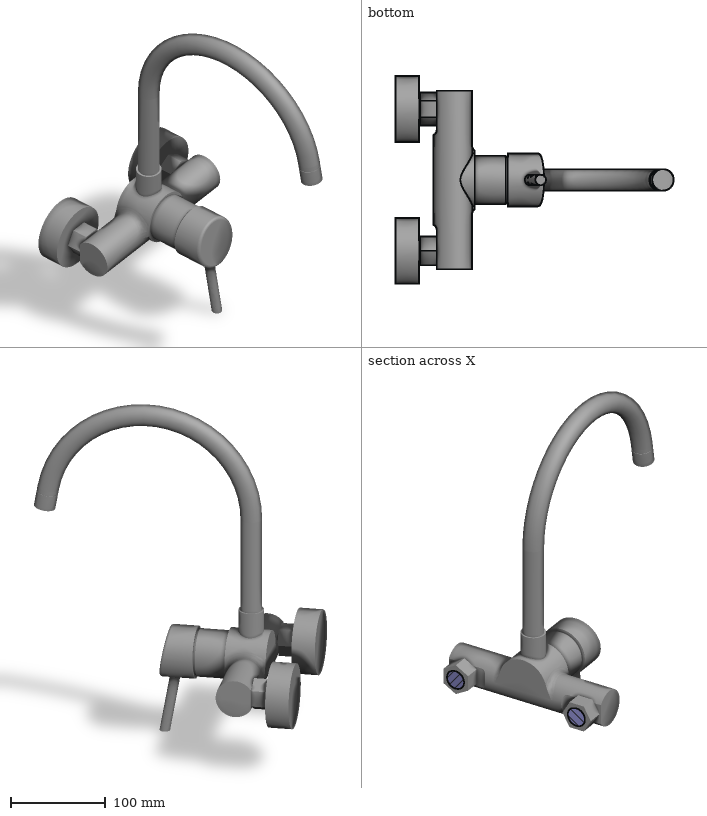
import cadquery as cq
import math


TUBE_DIAMETER = 41.0
TUBE_LENGTH = 189.0
SEAT_X = -17.0
SEAT_INNER_Y = 53.0
SEAT_CORNER_RADIUS = 6.3

VALVE_AXIS_Z = 10.5
BARREL_RADIUS = 29.3
BARREL_BACK_X = -20.7
BARREL_FRONT_X = 23.5
BARREL_BACK_BOTTOM_Z = 2.0
BARREL_BLEND_RADIUS = 7.5
SLEEVE_RADIUS = 25.75
SLEEVE_END_X = 56.0
NECK_RADIUS = 24.5

COLLAR_DIAMETER = 27.0
COLLAR_BOTTOM_Z = 33.5
COLLAR_TOP_Z = 64.0

SPOUT_DIAMETER = 23.0
BEND_RADIUS = 110.0
BEND_START_Z = 167.8
TILT = 10.0
OUTLET_LENGTH = 22.5
GROOVE_START = 4.5
GROOVE_WIDTH = 1.0
GROOVE_DEPTH = 0.55

HANDLE_RADIUS = 28.0
HANDLE_BACK_X = 58.0
HANDLE_FACE_X = 92.2
HANDLE_EDGE_RADIUS = 3.0
LEVER_DIAMETER = 11.0
LEVER_END_X = 93.0
LEVER_END_Z = -81.0

UNION_SPACING = 150.0
FLANGE_DIAMETER = 70.0
FLANGE_BACK_X = -60.7
FLANGE_THICKNESS = 25.2
UNION_NECK_DIAMETER = 22.0
UNION_NECK_LENGTH = 1.0
NUT_ACROSS_CORNERS = 35.2


def disc_along_x(radius, start_x, end_x, y=0, z=0):
    """Round bar along X between two X positions."""
    return cq.Workplane("YZ", origin=(start_x, y, z)).circle(radius).extrude(end_x - start_x)


def make_tube():
    return cq.Workplane("XZ").circle(TUBE_DIAMETER / 2).extrude(TUBE_LENGTH / 2, both=True)


def make_blended_barrel():
    """Upper part of the barrel, blended into the tube on both sides."""
    overhang = BARREL_RADIUS + TUBE_DIAMETER / 2
    arch = disc_along_x(BARREL_RADIUS, -overhang, overhang, z=VALVE_AXIS_Z)
    straight_walls = cq.Workplane("XY", origin=(0, 0, VALVE_AXIS_Z)).rect(
        2 * overhang, 2 * BARREL_RADIUS
    ).extrude(-2 * overhang)
    blended = make_tube().union(arch.union(straight_walls))
    tube_radius = TUBE_DIAMETER / 2
    junctions = cq.selectors.BoxSelector(
        (-tube_radius, -overhang, -tube_radius), (tube_radius, overhang, tube_radius)
    )
    blended = blended.edges(junctions).fillet(BARREL_BLEND_RADIUS)
    trim = cq.Workplane("XY", origin=(BARREL_BACK_X, 0, BARREL_BACK_BOTTOM_Z)).box(
        BARREL_FRONT_X - BARREL_BACK_X, TUBE_LENGTH, 2 * BARREL_RADIUS + TUBE_DIAMETER,
        centered=(False, True, False),
    )
    return blended.intersect(trim)


def seat_cut(side):
    """Flat for a union nut, open at the tube end (side is +1 or -1 along Y)."""
    outer_x = -TUBE_DIAMETER
    end_y = TUBE_LENGTH
    corner_y = SEAT_INNER_Y - SEAT_CORNER_RADIUS
    diagonal = SEAT_CORNER_RADIUS * math.sqrt(0.5)
    arc_x = SEAT_X - SEAT_CORNER_RADIUS
    return (
        cq.Workplane("XY")
        .moveTo(outer_x, side * corner_y)
        .lineTo(arc_x, side * corner_y)
        .threePointArc(
            (arc_x + diagonal, side * (SEAT_INNER_Y - diagonal)), (SEAT_X, side * SEAT_INNER_Y)
        )
        .lineTo(SEAT_X, side * end_y)
        .lineTo(outer_x, side * end_y)
        .close()
        .extrude(TUBE_DIAMETER, both=True)
    )


def make_collar():
    return (
        cq.Workplane("XY", origin=(0, 0, COLLAR_BOTTOM_Z))
        .circle(COLLAR_DIAMETER / 2)
        .extrude(COLLAR_TOP_Z - COLLAR_BOTTOM_Z)
    )


def make_housing():
    housing = make_tube().union(make_blended_barrel())
    housing = housing.union(disc_along_x(BARREL_RADIUS, 0, BARREL_FRONT_X, z=VALVE_AXIS_Z))
    for side in (-1, 1):
        housing = housing.cut(seat_cut(side))
    sleeve = disc_along_x(SLEEVE_RADIUS, 0, SLEEVE_END_X, z=VALVE_AXIS_Z)
    neck = disc_along_x(NECK_RADIUS, 0, HANDLE_BACK_X, z=VALVE_AXIS_Z)
    return housing.union(sleeve).union(neck).cut(make_collar())


def make_spout():
    """Collar, riser, bend just short of a half circle, and grooved outlet leaning outward by TILT."""
    spout_radius = SPOUT_DIAMETER / 2
    tilt = math.radians(TILT)
    top = (BEND_RADIUS, BEND_START_Z + BEND_RADIUS)
    bend_end = (
        BEND_RADIUS + BEND_RADIUS * math.cos(tilt),
        BEND_START_Z + BEND_RADIUS * math.sin(tilt),
    )
    path = (
        cq.Workplane("XZ")
        .moveTo(0, COLLAR_TOP_Z)
        .lineTo(0, BEND_START_Z)
        .threePointArc(top, bend_end)
    )
    tube = cq.Workplane("XY", origin=(0, 0, COLLAR_TOP_Z)).circle(spout_radius).sweep(path)

    outlet_plane = cq.Plane(
        origin=(bend_end[0], 0, bend_end[1]),
        xDir=(0, 1, 0),
        normal=(math.sin(tilt), 0, -math.cos(tilt)),
    )
    groove_radius = spout_radius - GROOVE_DEPTH
    sections = (
        (spout_radius, GROOVE_START),
        (groove_radius, GROOVE_START + GROOVE_WIDTH),
        (spout_radius, OUTLET_LENGTH),
    )
    start = 0
    for radius, end in sections:
        section = cq.Workplane(outlet_plane).workplane(offset=start).circle(radius).extrude(end - start)
        tube = tube.union(section)
        start = end
    return tube.union(make_collar())


def make_handle():
    """Slanted cap with a round lever hanging from its underside."""
    slope = math.tan(math.radians(TILT))
    cap_bottom = VALVE_AXIS_Z - HANDLE_RADIUS
    cap_top = VALVE_AXIS_Z + HANDLE_RADIUS
    side_profile = (
        cq.Workplane("XZ")
        .moveTo(HANDLE_BACK_X, cap_bottom)
        .lineTo(HANDLE_FACE_X + HANDLE_RADIUS * slope, cap_bottom)
        .lineTo(HANDLE_FACE_X - HANDLE_RADIUS * slope, cap_top)
        .lineTo(HANDLE_BACK_X, cap_top)
        .close()
        .extrude(HANDLE_RADIUS, both=True)
    )
    cap = disc_along_x(HANDLE_RADIUS, HANDLE_BACK_X, HANDLE_FACE_X + HANDLE_RADIUS, z=VALVE_AXIS_Z)
    cap = cap.intersect(side_profile).faces(">X").edges().fillet(HANDLE_EDGE_RADIUS)

    lever_height = VALVE_AXIS_Z - LEVER_END_Z
    half_width = LEVER_DIAMETER / 2
    lever_path = (
        cq.Workplane("XZ")
        .moveTo(LEVER_END_X, LEVER_END_Z)
        .lineTo(LEVER_END_X - lever_height * slope, VALVE_AXIS_Z)
    )
    lever = (
        cq.Workplane("XY", origin=(LEVER_END_X, 0, LEVER_END_Z))
        .ellipse(half_width / math.cos(math.radians(TILT)), half_width)
        .sweep(lever_path)
    )
    return cap.union(lever)


def make_union(y, corner_angle):
    """Flange, neck and nut of one wall union; corner_angle turns the nut about X."""
    flange_end_x = FLANGE_BACK_X + FLANGE_THICKNESS
    nut_start_x = flange_end_x + UNION_NECK_LENGTH
    flange = disc_along_x(FLANGE_DIAMETER / 2, FLANGE_BACK_X, flange_end_x, y=y)
    neck = disc_along_x(UNION_NECK_DIAMETER / 2, FLANGE_BACK_X, SEAT_X, y=y)
    nut = (
        cq.Workplane("YZ", origin=(nut_start_x, y, 0))
        .transformed(rotate=(0, 0, corner_angle))
        .polygon(6, NUT_ACROSS_CORNERS)
        .extrude(SEAT_X - nut_start_x)
    )
    return flange.union(neck).union(nut)


housing = make_housing()
spout = make_spout()
handle = make_handle()
wall_unions = [
    make_union(side * UNION_SPACING / 2, corner_angle).val()
    for side, corner_angle in ((-1, 0), (1, 90))
]

result = cq.Compound.makeCompound([housing.val(), spout.val(), handle.val(), *wall_unions])